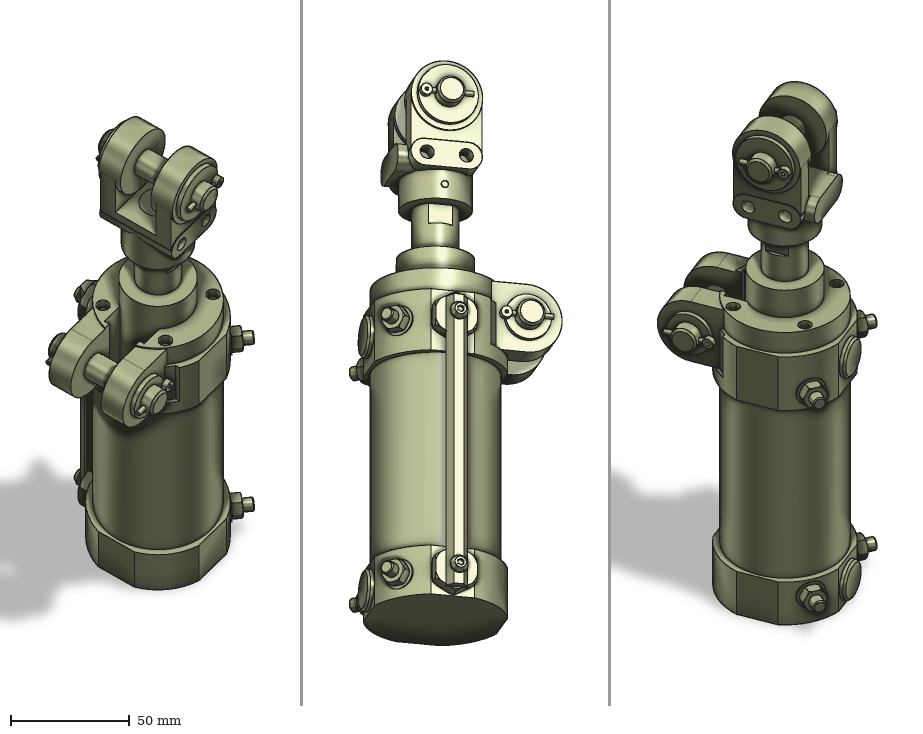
import cadquery as cq
import math

tube_dia = 55.0
tube_top = 148.0
head_flat = 28.9
head_flat_half = 9.5
head_radius = math.hypot(head_flat, head_flat_half)
cap_height = 22.0
head_bottom = 110.0
head_top = 137.5
collar_dia = 33.0
collar_top = 162.0
cover_hole_dia = 6.0
cover_hole_depth = 5.0
cover_hole_offset = 16.5

clevis_radius = 15.5
fork_inner = 8.0
fork_outer = 19.5
fork_width = fork_outer - fork_inner

lug_radius = 15.25
lug_y = -34.75
lug_z = 132.0
lug_bottom = lug_z - lug_radius
pocket_radius = 28.8
pocket_front = -17.6
channel_floor = 114.0
channel_wide_half = 10.5
channel_step_y = -23.3

port_levels = (10.4, 124.6)
port_dia = 18.0
port_face = 31.5
port_chamfer = 1.0
port_nut_flats = 18.0
port_nut_face = 35.4
port_nut_chamfer = 1.0
valve_collar_dia = 13.16
valve_collar_face = 30.6
valve_nut_flats = 10.0
valve_nut_chamfer = 0.6
valve_nut_face = 35.5
valve_stem_dia = 6.0
valve_tip_dia = 4.92
valve_stem_end = 40.6
valve_angle = 45.0
right_valve_levels = (14.3, 118.6)

rod_dia = 20.0
rod_flats = 17.0
rod_flat_bottom = 175.0
rod_stud_dia = 16.0

clevis_bottom = 184.0
clevis_floor = 209.0
clevis_pin_z = 229.0
clevis_neck_dia = 2 * clevis_radius
arm_inner = 10.75
arm_outer = 18.6
arm_bottom = 204.5
bar_height = 12.0
bar_length = 2 * clevis_radius
bar_half = 19.0
bar_z = clevis_floor - bar_height / 2
rear_pad_face = 20.0
rear_pad_length = 29.0
bar_hole_dia = 6.0
bar_hole_y = 8.5
bar_hole_depth = 8.0
set_screw_dia = 3.0
set_screw_z = 190.4
set_screw_proud = 0.6

pin_dia = 12.0
pin_half = 27.7
pin_chamfer = 1.0
washer_thickness = 2.2
clevis_washer_dia = 26.0
lug_washer_dia = 20.0
cotter_x = 23.7
cotter_wire = 2.3
cotter_tail = 10.3
cotter_eye_y = 10.2
cotter_eye_dia = 4.92
cotter_eye_hole = 1.5
cotter_eye_width = 2.7

rail_bottom = 1.7
rail_top = 132.1
rail_front = -39.5
rail_back_half = 4.7
rail_front_half = 2.1
backing_half = 3.0
backing_face = -31.0
backing_clearance = 0.1
screw_head_dia = 7.6
screw_top_dia = 4.92
screw_head_height = 2.95
screw_rim_height = 0.8
socket_size = 3.0
socket_depth = 1.5


def x_cylinder(dia, start, end):
    """Cylinder about the X axis from x = start to x = end."""
    return cq.Workplane("YZ").workplane(offset=start).circle(dia / 2).extrude(end - start)


def z_cylinder(dia, start, end):
    """Cylinder about the Z axis from z = start to z = end."""
    return cq.Workplane("XY").workplane(offset=start).circle(dia / 2).extrude(end - start)


def box(x_range, y_range, z_range):
    """Box between the given pairs of limits."""
    size = [high - low for low, high in (x_range, y_range, z_range)]
    corner = (x_range[0], y_range[0], z_range[0])
    return cq.Workplane("XY").box(*size, centered=False).translate(corner)


def x_hex(corner_dia, start, end):
    """Hexagonal prism along X with two corners pointing up and down."""
    prism = cq.Workplane("YZ").workplane(offset=start).polygon(6, corner_dia).extrude(end - start)
    return prism.rotate((0, 0, 0), (1, 0, 0), 90)


def place_radial(shape, angle, level):
    """Turn a shape built along +X about the Z axis and lift it to the given level."""
    return shape.rotate((0, 0, 0), (0, 0, 1), angle).translate((0, 0, level))


def head_block(bottom, top):
    """Round end block with four flats."""
    side = 2 * head_flat
    square = cq.Workplane("XY").workplane(offset=bottom).rect(side, side).extrude(top - bottom)
    return z_cylinder(2 * head_radius, bottom, top).intersect(square)


def chamfered_nut(flats, start, end, chamfer):
    """Hexagon nut along X, with its corners up and down and its end corners turned off."""
    corner_dia = flats / math.cos(math.radians(30))
    envelope = x_cylinder(corner_dia, start, end).faces("<X or >X").chamfer(chamfer)
    return x_hex(corner_dia, start, end).intersect(envelope)


def port_nut():
    """Nut of a sensor rail port, along +X."""
    return chamfered_nut(port_nut_flats, head_flat, port_nut_face, port_nut_chamfer)


def port_pad():
    """Round port pad along +X."""
    return x_cylinder(port_dia, tube_dia / 2, port_face).faces(">X").chamfer(port_chamfer)


def valve():
    """Fitting along +X: a round collar, a nut with a flat on top, and a stem."""
    start = tube_dia / 2
    tip_chamfer = (valve_stem_dia - valve_tip_dia) / 2
    stem = x_cylinder(valve_stem_dia, start, valve_stem_end).faces(">X").chamfer(tip_chamfer)
    collar = x_cylinder(valve_collar_dia, start, valve_collar_face)
    nut = chamfered_nut(valve_nut_flats, valve_collar_face, valve_nut_face, valve_nut_chamfer)
    flat_up_nut = nut.rotate((0, 0, 0), (1, 0, 0), 90)
    return stem.union(collar).union(flat_up_nut)


def lug_pair():
    """Two round-ended lugs reaching from the tube to the lug pin axis."""
    lugs = cq.Workplane("XY")
    for start in (-fork_outer, fork_inner):
        end = start + fork_width
        eye = x_cylinder(2 * lug_radius, start, end).translate((0, lug_y, lug_z))
        web = box((start, end), (lug_y, pocket_front), (lug_bottom, lug_z + lug_radius))
        lugs = lugs.add(eye.union(web))
    return lugs.combine()


def relief_pocket():
    """Shallow relief of the head surface around the lugs."""
    outside = -2 * head_radius
    blank = box((outside, -outside), (outside, pocket_front), (lug_bottom, head_top))
    return blank.cut(z_cylinder(2 * pocket_radius, lug_bottom, head_top))


def lug_channel():
    """Channel between the lugs that leaves the central collar standing."""
    heights = (channel_floor, tube_top)
    narrow = box((-fork_inner, fork_inner), (lug_y - lug_radius, 0), heights)
    wide = box((-channel_wide_half, channel_wide_half), (channel_step_y, 0), heights)
    return narrow.union(wide).cut(z_cylinder(collar_dia, channel_floor, tube_top))


def make_housing():
    body = z_cylinder(tube_dia, 0, tube_top)
    body = body.union(head_block(0, cap_height)).union(head_block(head_bottom, head_top))
    body = body.cut(relief_pocket()).union(lug_pair()).cut(lug_channel())
    body = body.union(z_cylinder(collar_dia, tube_top, collar_top))
    for level in port_levels:
        body = body.union(place_radial(port_nut(), 180, level))
        body = body.union(place_radial(port_pad(), 90, level))
        body = body.union(place_radial(valve(), 180 - valve_angle, level))
    for level in right_valve_levels:
        body = body.union(place_radial(valve(), valve_angle, level))
    pitch = 2 * cover_hole_offset
    cover_holes = (
        cq.Workplane("XY").workplane(offset=tube_top - cover_hole_depth)
        .rect(pitch, pitch, forConstruction=True).vertices()
        .circle(cover_hole_dia / 2).extrude(cover_hole_depth)
    )
    rod_bore = z_cylinder(rod_dia, channel_floor, collar_top)
    pin_hole = x_cylinder(pin_dia, -fork_outer, fork_outer).translate((0, lug_y, lug_z))
    return body.cut(cover_holes).cut(rod_bore).cut(pin_hole)


def make_rod():
    shank = z_cylinder(rod_dia, channel_floor, clevis_bottom)
    for side in (-1, 1):
        near, far = sorted((side * rod_flats / 2, side * rod_dia / 2))
        flat = box((near, far), (-rod_dia, rod_dia), (rod_flat_bottom, clevis_bottom))
        shank = shank.cut(flat)
    return shank.union(z_cylinder(rod_stud_dia, clevis_bottom, clevis_floor))


def make_set_screw():
    """Short screw along X from outside the clevis neck to the rod stud."""
    outer_end = -clevis_neck_dia / 2 - set_screw_proud
    return x_cylinder(set_screw_dia, outer_end, -rod_stud_dia / 2).translate((0, 0, set_screw_z))


def make_clevis(set_screw):
    neck = z_cylinder(clevis_neck_dia, clevis_bottom, arm_bottom)
    bar = (
        cq.Workplane("YZ").workplane(offset=-bar_half).center(0, bar_z)
        .slot2D(bar_length, bar_height).extrude(2 * bar_half)
    )
    rear_pad = (
        cq.Workplane("XZ").center(0, bar_z)
        .slot2D(rear_pad_length, bar_height).extrude(-rear_pad_face)
    )
    depth = (-clevis_radius, clevis_radius)
    arms = box((-arm_outer, arm_outer), depth, (arm_bottom, clevis_pin_z))
    gap = box((-arm_inner, arm_inner), depth, (clevis_floor, clevis_pin_z))
    clevis = neck.union(bar).union(rear_pad).union(arms.cut(gap))
    for start in (-fork_outer, fork_inner):
        disc = x_cylinder(2 * clevis_radius, start, start + fork_width)
        clevis = clevis.union(disc.translate((0, 0, clevis_pin_z)))
    for side in (-1, 1):
        start, end = sorted((side * bar_half, side * (bar_half - bar_hole_depth)))
        for y in (-bar_hole_y, bar_hole_y):
            clevis = clevis.cut(x_cylinder(bar_hole_dia, start, end).translate((0, y, bar_z)))
    pin_hole = x_cylinder(pin_dia, -fork_outer, fork_outer).translate((0, 0, clevis_pin_z))
    stud_hole = z_cylinder(rod_stud_dia, clevis_bottom, clevis_floor)
    return clevis.cut(pin_hole).cut(stud_hole).cut(set_screw)


def cotter():
    """Cotter along Y: a straight wire with an eye at its +Y end."""
    wire_length = cotter_tail + cotter_eye_y - cotter_eye_hole
    wire = cq.Workplane("XZ", origin=(0, -cotter_tail, 0)).circle(cotter_wire / 2).extrude(-wire_length)
    half = cotter_eye_width / 2
    eye = x_cylinder(cotter_eye_dia, -half, half).cut(x_cylinder(cotter_eye_hole, -half, half))
    return wire.union(eye.translate((0, cotter_eye_y, 0)))


def make_pin(washer_dia, y, z):
    """Pin along X, held by a washer and a cotter at each end."""
    pin = x_cylinder(pin_dia, -pin_half, pin_half).faces("<X or >X").chamfer(pin_chamfer)
    for washer_start in (-fork_outer - washer_thickness, fork_outer):
        pin = pin.union(x_cylinder(washer_dia, washer_start, washer_start + washer_thickness))
    for x in (-cotter_x, cotter_x):
        pin = pin.union(cotter().translate((x, 0, 0)))
    return pin.translate((0, y, z))


def rail_screw_head():
    """Tapered screw head with a hexagon socket, along -X."""
    top = rail_front - screw_head_height
    taper_width = (screw_head_dia - screw_top_dia) / 2
    head = x_cylinder(screw_head_dia, top, rail_front)
    head = head.faces("<X").chamfer(screw_head_height - screw_rim_height, taper_width)
    return head.cut(x_hex(socket_size, top, top + socket_depth))


def make_rail():
    back = -port_nut_face
    rail = (
        cq.Workplane("XY").workplane(offset=rail_bottom)
        .moveTo(back, -rail_back_half).lineTo(rail_front, -rail_front_half)
        .lineTo(rail_front, rail_front_half).lineTo(back, rail_back_half).close()
        .extrude(rail_top - rail_bottom)
    )
    nut_reach = port_nut_flats / math.sqrt(3) + backing_clearance
    backing_span = (port_levels[0] + nut_reach, port_levels[1] - nut_reach)
    rail = rail.union(box((back, backing_face), (-backing_half, backing_half), backing_span))
    for level in port_levels:
        rail = rail.union(rail_screw_head().translate((0, 0, level)))
    return rail


housing = make_housing()
rod = make_rod()
set_screw = make_set_screw()
clevis = make_clevis(set_screw)
clevis_pin = make_pin(clevis_washer_dia, 0, clevis_pin_z)
lug_pin = make_pin(lug_washer_dia, lug_y, lug_z)
rail = make_rail()

result = cq.Compound.makeCompound([
    housing.val(),
    rod.val(),
    set_screw.val(),
    clevis.val(),
    clevis_pin.val(),
    lug_pin.val(),
    rail.val(),
])